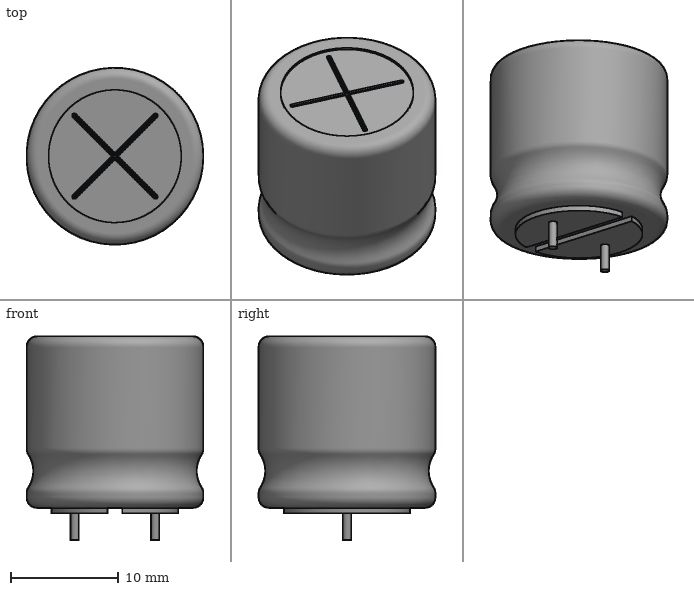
import cadquery as cq
import math

can_diameter = 16.5
can_radius = can_diameter / 2
base_height = 0.5
can_height = 16.0
can_bottom = base_height
can_top = can_bottom + can_height
rim_fillet = 1.0

groove_center_z = 3.95
groove_depth = 0.62
groove_radius = 2.8
groove_edge_fillet = 1.0

recess_diameter = 0.75 * can_diameter
recess_depth = 0.2
vent_length = 11.1
vent_width = 0.4
vent_depth = 0.12
vent_wall_angle = 45.0
vent_directions = (45.0, 135.0)

base_diameter = 11.84
channel_width = 1.36

pin_diameter = 0.8
pin_pitch = 7.5
pin_length = 2.5


def can_profile():
    """Half section of the can in the XZ plane, closed along the Z axis."""
    center_distance = groove_radius + groove_edge_fillet
    radial_offset = center_distance - groove_depth
    half_span = math.sqrt(center_distance**2 - radial_offset**2)
    turn = math.acos(radial_offset / center_distance)

    fillet_center_x = can_radius - groove_edge_fillet
    tangent_x = fillet_center_x + groove_edge_fillet * math.cos(turn)
    tangent_offset = groove_radius * math.sin(turn)
    fillet_mid_x = fillet_center_x + groove_edge_fillet * math.cos(turn / 2)
    fillet_mid_offset = half_span - groove_edge_fillet * math.sin(turn / 2)

    rim_mid_inset = rim_fillet * (1 - math.sqrt(0.5))
    rim_mid_x = can_radius - rim_mid_inset
    flat_radius = can_radius - rim_fillet

    return (
        cq.Workplane("XZ")
        .moveTo(0, can_bottom)
        .lineTo(flat_radius, can_bottom)
        .threePointArc((rim_mid_x, can_bottom + rim_mid_inset), (can_radius, can_bottom + rim_fillet))
        .lineTo(can_radius, groove_center_z - half_span)
        .threePointArc(
            (fillet_mid_x, groove_center_z - fillet_mid_offset),
            (tangent_x, groove_center_z - tangent_offset),
        )
        .threePointArc(
            (can_radius - groove_depth, groove_center_z),
            (tangent_x, groove_center_z + tangent_offset),
        )
        .threePointArc(
            (fillet_mid_x, groove_center_z + fillet_mid_offset),
            (can_radius, groove_center_z + half_span),
        )
        .lineTo(can_radius, can_top - rim_fillet)
        .threePointArc((rim_mid_x, can_top - rim_mid_inset), (flat_radius, can_top))
        .lineTo(0, can_top)
        .close()
    )


def top_recess():
    """Shallow round pocket in the top of the can."""
    floor_z = can_top - recess_depth
    return cq.Workplane("XY", origin=(0, 0, floor_z)).circle(recess_diameter / 2).extrude(recess_depth)


def vent_groove(direction):
    """Round-ended groove with sloped walls in the recess floor, turned about Z."""
    return (
        cq.Workplane("XY", origin=(0, 0, can_top - recess_depth))
        .slot2D(vent_length, vent_width, direction)
        .extrude(-vent_depth, taper=vent_wall_angle)
    )


def base():
    """Two round-backed pads under the can, either side of the channel."""
    disc = cq.Workplane("XY").circle(base_diameter / 2).extrude(base_height)
    channel = cq.Workplane("XY").rect(channel_width, base_diameter).extrude(base_height)
    return disc.cut(channel)


def make_can():
    can = can_profile().revolve(360, (0, 0), (0, 1))
    can = can.cut(top_recess())
    for direction in vent_directions:
        can = can.cut(vent_groove(direction))
    return can.union(base())


def make_pin(x):
    """Straight round pin hanging from the base underside."""
    return cq.Workplane("XY").center(x, 0).circle(pin_diameter / 2).extrude(-pin_length)


can = make_can()
pins = [make_pin(side * pin_pitch / 2) for side in (-1, 1)]

result = cq.Compound.makeCompound([can.val(), *[pin.val() for pin in pins]])